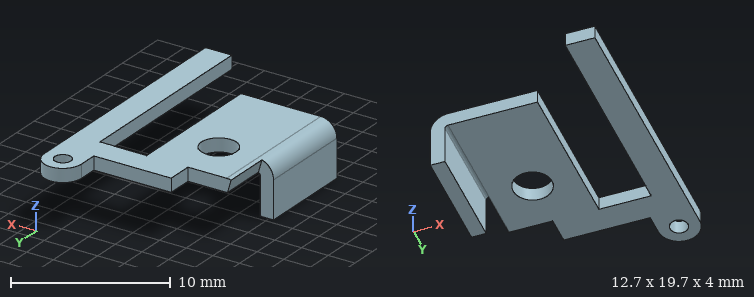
import cadquery as cq
import math


thickness = 1.0
inner_bend_radius = 0.2
outer_bend_radius = inner_bend_radius + thickness
part_height = 4.0
lip_angle = 16.0

part_width = 12.7
part_length = 19.7

plate_front_y = 4.3
plate_back_y = 15.0
plate_right_x = 7.2
flange_back_y = 11.5

bridge_left_x = 4.1
bridge_back_y = 16.9

arm_width = 2.0
arm_left_x = part_width - arm_width
eye_radius = 1.4
eye_left_x = part_width - 2 * eye_radius
eye_x = part_width - eye_radius
eye_y = part_length - eye_radius
eye_hole_diameter = 1.2

plate_hole_diameter = 2.6
plate_hole_x = bridge_left_x
plate_hole_y = flange_back_y

bend_x = outer_bend_radius
bend_z = part_height - outer_bend_radius
sheet_bottom_z = part_height - thickness


def bend_point(radius, angle):
    """XZ point on the bend, with the angle in degrees from the plate's end."""
    turn = math.radians(angle)
    return (bend_x - radius * math.sin(turn), bend_z + radius * math.cos(turn))


def bend_section(angle, back_y, front_y):
    """Part of the bend that turns through the angle, between two Y positions."""
    return (
        cq.Workplane("XZ", origin=(0, back_y, 0))
        .moveTo(*bend_point(outer_bend_radius, 0))
        .threePointArc(bend_point(outer_bend_radius, angle / 2), bend_point(outer_bend_radius, angle))
        .lineTo(*bend_point(inner_bend_radius, angle))
        .threePointArc(bend_point(inner_bend_radius, angle / 2), bend_point(inner_bend_radius, 0))
        .close()
        .extrude(back_y - front_y)
    )


def flat_sheet():
    """Flat plate, bridge and arm, with the rounded eye at the arm's back end."""
    return (
        cq.Workplane("XY", origin=(0, 0, sheet_bottom_z))
        .moveTo(bend_x, plate_front_y)
        .lineTo(plate_right_x, plate_front_y)
        .lineTo(plate_right_x, plate_back_y)
        .lineTo(arm_left_x, plate_back_y)
        .lineTo(arm_left_x, 0)
        .lineTo(part_width, 0)
        .lineTo(part_width, eye_y)
        .threePointArc((eye_x, part_length), (eye_left_x, eye_y))
        .lineTo(eye_left_x, bridge_back_y)
        .lineTo(bridge_left_x, bridge_back_y)
        .lineTo(bridge_left_x, plate_back_y)
        .lineTo(bend_x, plate_back_y)
        .close()
        .extrude(thickness)
    )


def flange():
    """Upright flange hanging below the bend."""
    return cq.Workplane("XY").box(
        thickness, flange_back_y - plate_front_y, bend_z, centered=False
    ).translate((0, plate_front_y, 0))


def hole(x, y, diameter):
    """Cylinder that cuts a round hole through the flat sheet."""
    return (
        cq.Workplane("XY", origin=(x, y, sheet_bottom_z))
        .circle(diameter / 2)
        .extrude(thickness)
    )


flange_bend = bend_section(90, flange_back_y, plate_front_y)
lip = bend_section(lip_angle, plate_back_y, flange_back_y)

result = (
    flat_sheet()
    .union(flange_bend)
    .union(lip)
    .union(flange())
    .cut(hole(plate_hole_x, plate_hole_y, plate_hole_diameter))
    .cut(hole(eye_x, eye_y, eye_hole_diameter))
)